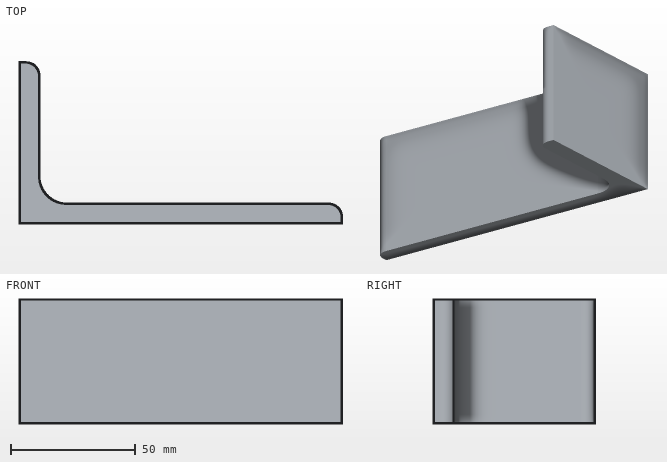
import cadquery as cq

long_leg = 130.0
short_leg = 65.0
thickness = 8.0
length = 50.0
root_radius = 11.0
toe_radius = 5.5


def angle_profile():
    """L-shaped outline with its sharp heel at the origin."""
    return (
        cq.Workplane("XY")
        .moveTo(0, 0)
        .lineTo(long_leg, 0)
        .lineTo(long_leg, thickness - toe_radius)
        .radiusArc((long_leg - toe_radius, thickness), -toe_radius)
        .lineTo(thickness + root_radius, thickness)
        .radiusArc((thickness, thickness + root_radius), root_radius)
        .lineTo(thickness, short_leg - toe_radius)
        .radiusArc((thickness - toe_radius, short_leg), -toe_radius)
        .lineTo(0, short_leg)
        .close()
    )


result = angle_profile().extrude(length)